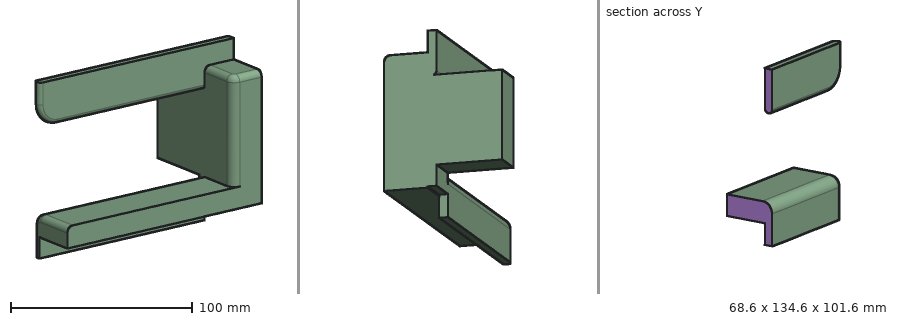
import cadquery as cq

INCH = 25.4

WIDTH = 2.7 * INCH
LENGTH = 5.3 * INCH
HEIGHT = 4.0 * INCH

REAR_DEPTH = 0.8 * INCH
ARM_LEFT = 1.5 * INCH
COLUMN_HEIGHT = 3.0 * INCH
COLUMN_BOTTOM = 13.1
COLUMN_TOP = COLUMN_BOTTOM + COLUMN_HEIGHT
COLUMN_CORNER_RADIUS = 0.2 * INCH
EDGE_RADIUS = 0.15 * INCH

LOWER_ARM_HEIGHT = 25.1
ARM_GAP = 2.0 * INCH
SHELF_THICKNESS = 0.5 * INCH
PLATE_THICKNESS = 0.2 * INCH
ROUND_RADIUS = PLATE_THICKNESS / 2
PLATE_NOSE_RADIUS = 0.5 * INCH
SHOULDER_RADIUS = 0.25 * INCH

BLOCK_TOP_DROP = 1.0 * INCH
BLOCK_BOTTOM = LOWER_ARM_HEIGHT
BLOCK_TOP = HEIGHT - BLOCK_TOP_DROP

PLATE_BOTTOM = LOWER_ARM_HEIGHT + ARM_GAP
SHELF_BOTTOM = LOWER_ARM_HEIGHT - SHELF_THICKNESS
REAR_FRONT = LENGTH - REAR_DEPTH
PLATE_RIGHT = ARM_LEFT + PLATE_THICKNESS
PLATE_MIDDLE = ARM_LEFT + PLATE_THICKNESS / 2

VERTICAL_FRONT_EDGE = ">X and <Y and |Z"


def box(x_range, y_range, z_range):
    """Axis-aligned box spanning three (low, high) ranges."""
    low, high = zip(x_range, y_range, z_range)
    size = [b - a for a, b in zip(low, high)]
    return cq.Workplane("XY").box(*size, centered=False).translate(low)


def rear_block():
    """Rectangular block reaching from X = 0 to the right side, joining the arms."""
    block = box((0, WIDTH), (REAR_FRONT, LENGTH), (BLOCK_BOTTOM, BLOCK_TOP))
    return block.edges(VERTICAL_FRONT_EDGE).fillet(COLUMN_CORNER_RADIUS)


def column():
    """Column behind the arms; its upper part starts at the middle of the upper plate."""
    upper = box((PLATE_MIDDLE, WIDTH), (REAR_FRONT, LENGTH), (BLOCK_BOTTOM, COLUMN_TOP))
    upper = upper.edges(VERTICAL_FRONT_EDGE).fillet(COLUMN_CORNER_RADIUS)
    upper = upper.faces("<Y").edges(">Z").fillet(EDGE_RADIUS)
    foot = box((ARM_LEFT, WIDTH), (REAR_FRONT, LENGTH), (COLUMN_BOTTOM, BLOCK_BOTTOM))
    return upper.union(foot)


def upper_plate():
    """Upright plate with a full round along its bottom and front edges."""
    spine_front = ROUND_RADIUS
    spine_bottom = PLATE_BOTTOM + ROUND_RADIUS
    spine_bend = PLATE_NOSE_RADIUS - ROUND_RADIUS
    core = box((ARM_LEFT, PLATE_RIGHT), (spine_front, LENGTH), (spine_bottom, HEIGHT))
    core = core.edges("<Y and <Z").fillet(spine_bend)

    spine = (
        cq.Workplane("YZ", origin=(PLATE_MIDDLE, 0, 0))
        .moveTo(LENGTH, spine_bottom)
        .lineTo(spine_front + spine_bend, spine_bottom)
        .radiusArc((spine_front, spine_bottom + spine_bend), spine_bend)
        .lineTo(spine_front, HEIGHT)
    )
    rim = (
        cq.Workplane("XZ", origin=(PLATE_MIDDLE, LENGTH, spine_bottom))
        .moveTo(-ROUND_RADIUS, 0)
        .threePointArc((0, -ROUND_RADIUS), (ROUND_RADIUS, 0))
        .close()
        .sweep(spine)
    )
    return core.union(rim)


def lower_arm():
    """L-section arm; its shelf runs back to the rear, its upright leg stops at the column."""
    solid_arm = box((ARM_LEFT, WIDTH), (0, LENGTH), (0, LOWER_ARM_HEIGHT))
    solid_arm = solid_arm.edges("<X and >Z").fillet(SHOULDER_RADIUS)
    solid_arm = solid_arm.faces("<Y").edges(">Z").fillet(EDGE_RADIUS)
    underside = box((PLATE_RIGHT, WIDTH), (0, LENGTH), (0, SHELF_BOTTOM))
    rear_relief = box((ARM_LEFT, PLATE_RIGHT), (REAR_FRONT, LENGTH), (0, COLUMN_BOTTOM))
    return solid_arm.cut(underside).cut(rear_relief)


result = rear_block().union(column()).union(lower_arm()).union(upper_plate())